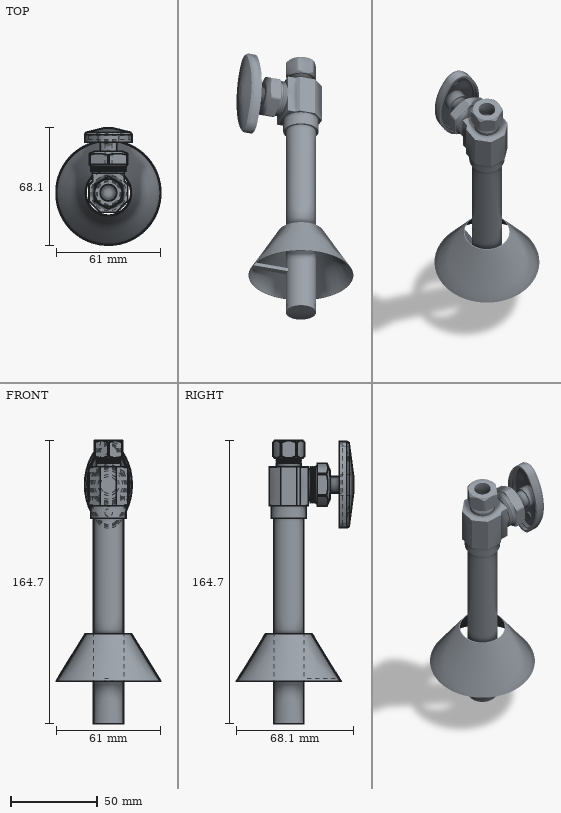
import cadquery as cq
import math


TOTAL_HEIGHT = 164.67
OVERLAP = 0.5

PIPE_RADIUS = 8.8
COLLAR_RADIUS = 10.3
COLLAR_BOTTOM = 119.4

FLANGE_BASE_RADIUS = 60.96 / 2
FLANGE_TOP_RADIUS = 13.4
FLANGE_BOTTOM = 24.6
FLANGE_TOP = 52.4
FLANGE_WALL = 0.4

TAB_WIDTH = 4.0
TAB_HEIGHT = 2.0

BODY_ACROSS_FLATS = 22.7
BODY_BOTTOM = 126.8
BODY_TOP = 149.2
BODY_BACK = BODY_ACROSS_FLATS / 2
OUTLET_HALF_WIDTH = 9.25

TOP_NUT_ACROSS_FLATS = 16.4
TOP_NUT_CORNER_RADIUS = 9.2
TOP_NUT_END_RADIUS = 8.0
TOP_NUT_CHAMFER = 1.3
TOP_NUT_BOTTOM = 154.2
TOP_NUT_HEIGHT = TOTAL_HEIGHT - TOP_NUT_BOTTOM
TOP_BORE_RADIUS = 4.8
TOP_BORE_DEPTH = TOP_NUT_HEIGHT
TOP_NECK_RADIUS = 7.2
TOP_THREAD_START = 151.5

THREAD_PITCH = 1.2
THREAD_DEPTH = 0.6

HANDLE_AXIS_Z = 138.9
BONNET_RADIUS = 10.4
BONNET_THREAD_START = 12.4
BONNET_ROOT_RADIUS = OUTLET_HALF_WIDTH
BONNET_NUT_ACROSS_FLATS = 22.3
BONNET_NUT_CORNER_RADIUS = 12.6
BONNET_NUT_FRONT = 16.5
BONNET_SEAT_FRONT = 15.4
BONNET_NUT_BACK = 24.0
BONNET_NUT_BACK_RADIUS = 8.2
BONNET_NUT_BACK_CHAMFER = 1.9
STEM_RADIUS = 4.85

HANDLE_HALF_WIDTH = 13.85
HANDLE_HALF_LENGTH = 25.15
HANDLE_TIP_RADIUS = 7.5
HANDLE_FRONT = 29.2
HANDLE_SHOULDER = 33.8
HANDLE_DOME_BASE = 35.1
HANDLE_SHOULDER_INSET = 0.9
HANDLE_BACK = 68.13 - FLANGE_BASE_RADIUS
DOME_TOP_SCALE = 0.2
HANDLE_RIM = 1.4
HANDLE_LEDGE = 0.7
HANDLE_LEDGE_DEPTH = 2.0
HANDLE_POCKET_DEPTH = 4.2
HANDLE_SKIN = 2.0
HANDLE_HUB_FRONT = 30.2
HANDLE_HUB_RADIUS = 6.1
PIN_RADIUS = 2.2
PIN_FRONT = 33.4
PIN_DISTANCE = 16.1


def disc(radius, bottom, top):
    """Upright cylinder on the Z axis."""
    return cq.Workplane("XY").workplane(offset=bottom).circle(radius).extrude(top - bottom)


def revolved(points):
    """Solid turned about Z from (radius, height) points."""
    return cq.Workplane("XZ").polyline(points).close().revolve(360, (0, 0, 0), (0, 1, 0))


def toward_handle(shape):
    """Turn a shape built along Z so that it lies along +Y on the handle axis."""
    return shape.rotate((0, 0, 0), (1, 0, 0), -90).translate((0, 0, HANDLE_AXIS_Z))


def hex_prism(across_flats, bottom, top):
    """Hexagonal prism along Z with corners on the Y axis."""
    corner_diameter = across_flats / math.cos(math.radians(30))
    prism = cq.Workplane("XY").workplane(offset=bottom).polygon(6, corner_diameter).extrude(top - bottom)
    return prism.rotate((0, 0, 0), (0, 0, 1), 30)


def threaded_neck(radius, bottom, thread_start, top):
    """Cylinder along Z with V-groove rings from thread_start to top."""
    neck = disc(radius, bottom, top)
    groove_count = round((top - thread_start) / THREAD_PITCH)
    half_pitch = THREAD_PITCH / 2
    for index in range(groove_count):
        middle = thread_start + half_pitch + index * THREAD_PITCH
        groove = revolved([
            (radius - THREAD_DEPTH, middle),
            (radius + THREAD_DEPTH, middle - THREAD_PITCH),
            (radius + THREAD_DEPTH, middle + THREAD_PITCH),
        ])
        neck = neck.cut(groove)
    return neck


def make_pipe():
    """Plain pipe with the wider collar under the valve body."""
    return disc(PIPE_RADIUS, 0, COLLAR_BOTTOM).union(disc(COLLAR_RADIUS, COLLAR_BOTTOM, BODY_BOTTOM))


def make_flange():
    """Conical shell with a tab on its +Y side that reaches the pipe."""
    shell = revolved([
        (FLANGE_BASE_RADIUS - FLANGE_WALL, FLANGE_BOTTOM),
        (FLANGE_BASE_RADIUS, FLANGE_BOTTOM),
        (FLANGE_TOP_RADIUS, FLANGE_TOP),
        (FLANGE_TOP_RADIUS - FLANGE_WALL, FLANGE_TOP),
    ])
    slope = (FLANGE_BASE_RADIUS - FLANGE_TOP_RADIUS) / (FLANGE_TOP - FLANGE_BOTTOM)
    tab_end = FLANGE_BASE_RADIUS - FLANGE_WALL / 2
    tab = (
        cq.Workplane("YZ")
        .polyline([
            (0, FLANGE_BOTTOM),
            (tab_end, FLANGE_BOTTOM),
            (tab_end - slope * TAB_HEIGHT, FLANGE_BOTTOM + TAB_HEIGHT),
            (0, FLANGE_BOTTOM + TAB_HEIGHT),
        ])
        .close()
        .extrude(TAB_WIDTH / 2, both=True)
    )
    return shell.union(tab)


def make_body():
    """Octagonal block with its flats on the axes and a rectangular outlet."""
    height = BODY_TOP - BODY_BOTTOM
    corner_diameter = BODY_ACROSS_FLATS / math.cos(math.radians(22.5))
    base = cq.Workplane("XY").workplane(offset=BODY_BOTTOM)
    octagon = base.polygon(8, corner_diameter).extrude(height).rotate((0, 0, 0), (0, 0, 1), 22.5)
    outlet = base.center(0, BODY_BACK / 2).rect(2 * OUTLET_HALF_WIDTH, BODY_BACK).extrude(height)
    return octagon.union(outlet)


def make_top_nut():
    """Threaded neck carrying a chamfered hexagonal nut with a blind bore."""
    neck = threaded_neck(TOP_NECK_RADIUS, BODY_TOP - OVERLAP, TOP_THREAD_START, TOP_NUT_BOTTOM + OVERLAP)
    envelope = revolved([
        (0, TOP_NUT_BOTTOM),
        (TOP_NUT_END_RADIUS, TOP_NUT_BOTTOM),
        (TOP_NUT_CORNER_RADIUS, TOP_NUT_BOTTOM + TOP_NUT_CHAMFER),
        (TOP_NUT_CORNER_RADIUS, TOTAL_HEIGHT - TOP_NUT_CHAMFER),
        (TOP_NUT_END_RADIUS, TOTAL_HEIGHT),
        (0, TOTAL_HEIGHT),
    ])
    nut = hex_prism(TOP_NUT_ACROSS_FLATS, TOP_NUT_BOTTOM, TOTAL_HEIGHT).intersect(envelope)
    bore = disc(TOP_BORE_RADIUS, TOTAL_HEIGHT - TOP_BORE_DEPTH, TOTAL_HEIGHT)
    return neck.union(nut).cut(bore)


def make_bonnet():
    """Threaded neck, conical seat, hexagonal nut and handle stem."""
    root = disc(BONNET_ROOT_RADIUS, BODY_BACK - OVERLAP, BONNET_THREAD_START + OVERLAP)
    thread = threaded_neck(BONNET_RADIUS, BONNET_THREAD_START, BONNET_THREAD_START, BONNET_SEAT_FRONT)
    seat_radius = BONNET_NUT_ACROSS_FLATS / 2
    seat = revolved([
        (0, BONNET_SEAT_FRONT - OVERLAP),
        (BONNET_RADIUS - THREAD_DEPTH, BONNET_SEAT_FRONT - OVERLAP),
        (BONNET_RADIUS, BONNET_SEAT_FRONT),
        (seat_radius, BONNET_NUT_FRONT),
        (0, BONNET_NUT_FRONT),
    ])
    envelope = revolved([
        (0, BONNET_NUT_FRONT),
        (BONNET_NUT_CORNER_RADIUS, BONNET_NUT_FRONT),
        (BONNET_NUT_CORNER_RADIUS, BONNET_NUT_BACK - BONNET_NUT_BACK_CHAMFER),
        (BONNET_NUT_BACK_RADIUS, BONNET_NUT_BACK),
        (0, BONNET_NUT_BACK),
    ])
    nut = hex_prism(BONNET_NUT_ACROSS_FLATS, BONNET_NUT_FRONT, BONNET_NUT_BACK).intersect(envelope)
    stem = disc(STEM_RADIUS, BONNET_NUT_BACK - OVERLAP, HANDLE_HUB_FRONT + OVERLAP)
    return toward_handle(root.union(thread).union(seat).union(nut).union(stem))


def oval(plane, inset):
    """Pointed oval of two wide side arcs and two tangent tip arcs, long along the local Y axis."""
    tip_radius = HANDLE_TIP_RADIUS - inset
    half_width = HANDLE_HALF_WIDTH - inset
    half_length = HANDLE_HALF_LENGTH - inset
    tip_centre = half_length - tip_radius
    reach = half_width - tip_radius
    shift = (tip_centre**2 - reach**2) / (2 * reach)
    side_radius = half_width + shift
    join_x = tip_radius * shift / (side_radius - tip_radius)
    join_y = tip_centre * side_radius / (side_radius - tip_radius)
    return (
        plane.moveTo(join_x, -join_y)
        .threePointArc((half_width, 0), (join_x, join_y))
        .threePointArc((0, half_length), (-join_x, join_y))
        .threePointArc((-half_width, 0), (-join_x, -join_y))
        .threePointArc((0, -half_length), (join_x, -join_y))
        .close()
    )


def oval_plate(bottom, top, inset):
    """Straight-sided oval plate."""
    return oval(cq.Workplane("XY").workplane(offset=bottom), inset).extrude(top - bottom)


def oval_taper(bottom, top, inset):
    """Oval frustum whose outline shrinks by the inset from bottom to top."""
    lower = oval(cq.Workplane("XY").workplane(offset=bottom), 0)
    return oval(lower.workplane(offset=top - bottom), inset).loft(ruled=True)


def oval_dome(bottom, top, inset):
    """Shallow elliptical cone with a flat tip, trimmed to the inset oval."""
    half_width = HANDLE_HALF_WIDTH - inset
    half_length = HANDLE_HALF_LENGTH - inset
    cone = (
        cq.Workplane("XY")
        .workplane(offset=bottom)
        .ellipse(half_width, half_length)
        .workplane(offset=top - bottom)
        .ellipse(half_width * DOME_TOP_SCALE, half_length * DOME_TOP_SCALE)
        .loft(ruled=True)
    )
    return oval_plate(bottom, top, inset).intersect(cone)


def make_handle():
    """Hollow oval handle with a central hub and two short pins in the pocket."""
    plate = oval_plate(HANDLE_FRONT, HANDLE_SHOULDER, 0)
    shoulder = oval_taper(HANDLE_SHOULDER, HANDLE_DOME_BASE, HANDLE_SHOULDER_INSET)
    dome = oval_dome(HANDLE_DOME_BASE, HANDLE_BACK, HANDLE_SHOULDER_INSET)

    pocket_inset = HANDLE_RIM + HANDLE_LEDGE
    pocket_edge = HANDLE_FRONT + HANDLE_POCKET_DEPTH
    pocket_floor = HANDLE_BACK - HANDLE_SKIN
    mouth = oval_plate(HANDLE_FRONT, HANDLE_FRONT + HANDLE_LEDGE_DEPTH, HANDLE_RIM)
    pocket = oval_plate(HANDLE_FRONT, pocket_edge, pocket_inset)
    hollow = oval_dome(pocket_edge, pocket_floor, pocket_inset)
    handle = plate.union(shoulder).union(dome).cut(mouth).cut(pocket).cut(hollow)

    handle = handle.union(disc(HANDLE_HUB_RADIUS, HANDLE_HUB_FRONT, pocket_floor + OVERLAP))
    pin = disc(PIN_RADIUS, PIN_FRONT, HANDLE_DOME_BASE)
    for side in (-1, 1):
        handle = handle.union(pin.translate((0, side * PIN_DISTANCE, 0)))
    return toward_handle(handle)


result = (
    make_pipe()
    .union(make_flange())
    .union(make_body())
    .union(make_top_nut())
    .union(make_handle())
    .union(make_bonnet())
)